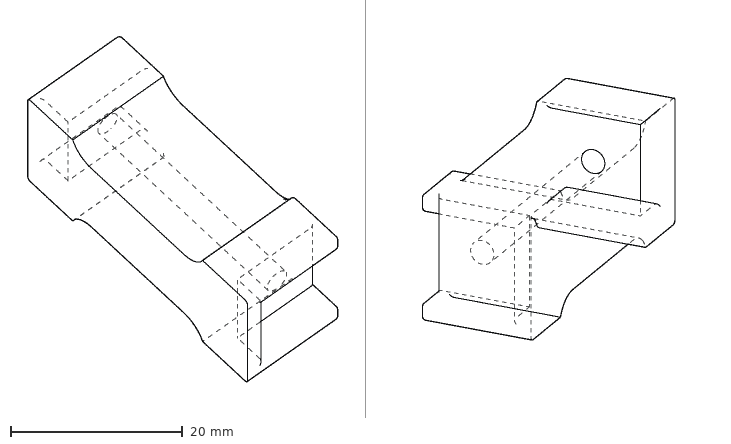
import cadquery as cq
import math

length = 39.0
width = 14.2
height = 16.0

waist_depth = 2.22
end_block_length = 8.0
waist_arc_radius = 3.6

side_wall_thickness = 2.35
lip_thickness = 2.22
pocket_depth = 4.5

hole_diameter = 3.0
hole_from_open_side = 5.77

edge_radius = 0.5

half_length = length / 2
half_width = width / 2
half_height = height / 2


def waist_profile():
    """Outline of the top waist cutter: a flat with a tangent arc at each end."""
    arc_run = math.sqrt(waist_arc_radius**2 - (waist_arc_radius - waist_depth) ** 2)
    lip_x = half_length - end_block_length
    flat_x = lip_x - arc_run
    flat_z = half_height - waist_depth
    mid_angle = math.acos(1 - waist_depth / waist_arc_radius) / 2
    mid_x = flat_x + waist_arc_radius * math.sin(mid_angle)
    mid_z = flat_z + waist_arc_radius * (1 - math.cos(mid_angle))
    return (
        cq.Workplane("XZ")
        .moveTo(-flat_x, flat_z)
        .lineTo(flat_x, flat_z)
        .threePointArc((mid_x, mid_z), (lip_x, half_height))
        .lineTo(-lip_x, half_height)
        .threePointArc((-mid_x, mid_z), (-flat_x, flat_z))
        .close()
    )


def end_pocket(side):
    """Pocket cutter at the -X end (side = -1) or the +X end (side = 1)."""
    pocket_width = width - side_wall_thickness
    return cq.Workplane("XY").box(pocket_depth, pocket_width, height - 2 * lip_thickness).translate(
        (side * (half_length - pocket_depth / 2), side_wall_thickness / 2, 0)
    )


waist_cutter = waist_profile().extrude(half_width, both=True)
body = cq.Workplane("XY").box(length, width, height)
body = body.cut(waist_cutter).cut(waist_cutter.mirror("XY"))
for end_side in (-1, 1):
    body = body.cut(end_pocket(end_side))

rounded_faces = body.faces(">Y or <X or >X")
body = rounded_faces.edges().edges("not <Y").fillet(edge_radius)

hole = (
    cq.Workplane("YZ")
    .center(half_width - hole_from_open_side, 0)
    .circle(hole_diameter / 2)
    .extrude(half_length, both=True)
)
result = body.cut(hole)